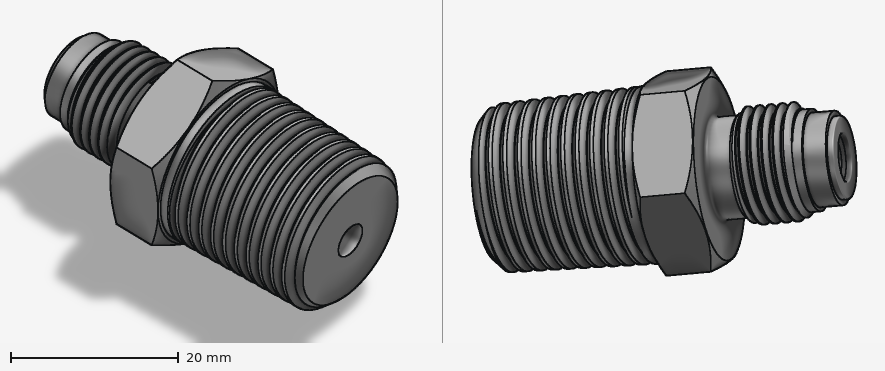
import cadquery as cq
import math

tip_end = 0.8
neck_end = 3.6
small_thread_start = 4.77
small_thread_end = 12.57
hex_start = 15.66
hex_end = 23.24
taper_start = 24.08
collar_end = 24.36
total_length = 43.94

tip_radius = 5.02
tip_fillet = 0.2
neck_radius = 5.69
shank_radius = 6.17
shank_fillet = 0.5

across_flats = 22.225
hex_bevel_angle = 30.0
hex_bevel_inset = 0.1

bore_radius = 2.2
mouth_radius = 2.9
mouth_fillet = 0.2
mouth_depth = 0.75
mouth_cone_length = 0.35

inch = 25.4
flank_slope = math.tan(math.radians(30))

small_pitch = inch / 18
small_crest_radius = inch * 9 / 16 / 2
small_foot_radius = shank_radius - 0.07
small_foot_gap = 0.04
small_crest_at_top = 5.87

pipe_pitch = inch / 14
pipe_crest_radius = inch * 0.84 / 2
pipe_thread_depth = 1.09
pipe_root_flat = 0.08
pipe_taper = 1 / 32
pipe_end_chamfer = 1.4
pipe_groove_at_top = 26.2

cylinder_helix = 360.0

clearance = 0.3


def revolve_about_x(outline):
    """Turn a closed (x, radius) sketch about the X axis."""
    return outline.close().revolve(360, (0, 0, 0), (1, 0, 0))


def turned(points):
    """Solid of revolution from (x, radius) corners that start and end on the axis."""
    return revolve_about_x(cq.Workplane("XY").polyline(points))


def small_end():
    """Tip, neck and shank, with a fillet running out into the hexagon."""
    outline = (
        cq.Workplane("XY")
        .moveTo(0, 0)
        .lineTo(0, tip_radius - tip_fillet)
        .radiusArc((tip_fillet, tip_radius), tip_fillet)
        .lineTo(tip_end, tip_radius)
        .lineTo(tip_end, neck_radius)
        .lineTo(neck_end, neck_radius)
        .lineTo(neck_end, shank_radius)
        .lineTo(hex_start - shank_fillet, shank_radius)
        .radiusArc((hex_start, shank_radius + shank_fillet), -shank_fillet)
        .lineTo(hex_start, 0)
    )
    return revolve_about_x(outline)


def hexagon():
    """Hexagon with corners up and down, both ends bevelled by a cone."""
    corner_radius = across_flats / 2 / math.cos(math.radians(30))
    prism = (
        cq.Workplane("YZ")
        .workplane(offset=hex_start)
        .transformed(rotate=(0, 0, 90))
        .polygon(6, 2 * corner_radius)
        .extrude(hex_end - hex_start)
    )
    slope = math.tan(math.radians(hex_bevel_angle))
    left_radius = across_flats / 2 - hex_bevel_inset
    right_radius = across_flats / 2
    rim_radius = corner_radius + clearance
    bevel = turned([
        (hex_start, 0),
        (hex_start, left_radius),
        (hex_start + (rim_radius - left_radius) * slope, rim_radius),
        (hex_end - (rim_radius - right_radius) * slope, rim_radius),
        (hex_end, right_radius),
        (hex_end, 0),
    ])
    return prism.intersect(bevel)


def helical_sweep(section, pitch, top_x, first_turn, turns, taper=0.0):
    """Sweep a closed section along a right-hand helix about the X axis.

    The section is a list of (radius, axial offset) corners, the first one lying at
    the helix radius. It is placed directly above the axis at top_x; the sweep starts
    first_turn whole turns from there and shrinks by the taper as X grows.
    """
    start_radius_change = -first_turn * pitch * taper
    corners = [(radius + start_radius_change, offset) for radius, offset in section]
    helix = cq.Wire.makeHelix(
        pitch,
        turns * pitch,
        corners[0][0],
        angle=-math.degrees(math.atan(taper)) if taper else cylinder_helix,
    )
    swept = cq.Workplane("XZ").polyline(corners).close().sweep(cq.Workplane(helix), isFrenet=True)
    return (
        swept.rotate((0, 0, 0), (0, 1, 0), 90)
        .rotate((0, 0, 0), (1, 0, 0), 180)
        .translate((top_x + first_turn * pitch, 0, 0))
    )


def small_thread():
    """Straight thread ridge with its ends bevelled at 45 degrees down to the shank.

    The foot of the ridge is sunk into the shank so that the two join.
    """
    half_foot = (small_pitch - small_foot_gap) / 2
    half_crest = half_foot - (small_crest_radius - small_foot_radius) * flank_slope
    ridge = helical_sweep(
        [
            (small_foot_radius, -half_foot),
            (small_crest_radius, -half_crest),
            (small_crest_radius, half_crest),
            (small_foot_radius, half_foot),
        ],
        small_pitch,
        small_crest_at_top,
        first_turn=-3,
        turns=8,
    )
    bevel = small_crest_radius + clearance - shank_radius
    envelope = turned([
        (small_thread_start, 0),
        (small_thread_start, shank_radius),
        (small_thread_start + bevel, shank_radius + bevel),
        (small_thread_end - bevel, shank_radius + bevel),
        (small_thread_end, shank_radius),
        (small_thread_end, 0),
    ])
    return ridge.intersect(envelope)


def pipe_radius_at(x):
    """Crest radius of the pipe taper at a station along the axis."""
    return pipe_crest_radius - (x - taper_start) * pipe_taper


def pipe_thread():
    """Tapered threaded sleeve with a 45 degree lead chamfer at the free end."""
    chamfer_start = total_length - pipe_end_chamfer
    chamfer_radius = pipe_radius_at(chamfer_start)
    blank = turned([
        (collar_end, 0),
        (collar_end, pipe_radius_at(collar_end)),
        (chamfer_start, chamfer_radius),
        (total_length, chamfer_radius - pipe_end_chamfer),
        (total_length, 0),
    ])
    crest_at_top = pipe_radius_at(pipe_groove_at_top)
    root_at_top = crest_at_top - pipe_thread_depth
    mouth_at_top = crest_at_top + clearance
    half_root = pipe_root_flat / 2
    half_mouth = half_root + (mouth_at_top - root_at_top) * flank_slope
    groove = helical_sweep(
        [
            (root_at_top, -half_root),
            (root_at_top, half_root),
            (mouth_at_top, half_mouth),
            (mouth_at_top, -half_mouth),
        ],
        pipe_pitch,
        pipe_groove_at_top,
        first_turn=-2,
        turns=13,
        taper=pipe_taper,
    )
    return blank.cut(groove)


def collar():
    """Plain ring between the hexagon and the pipe thread, where the taper begins."""
    return turned([
        (hex_end, 0),
        (hex_end, pipe_crest_radius),
        (taper_start, pipe_crest_radius),
        (collar_end, pipe_radius_at(collar_end)),
        (collar_end, 0),
    ])


def bore():
    """Through bore, opened out at the tip by a rounded mouth and a short cone."""
    outline = (
        cq.Workplane("XY")
        .moveTo(0, 0)
        .lineTo(0, mouth_radius + mouth_fillet)
        .radiusArc((mouth_fillet, mouth_radius), -mouth_fillet)
        .lineTo(mouth_depth, mouth_radius)
        .lineTo(mouth_depth + mouth_cone_length, bore_radius)
        .lineTo(total_length, bore_radius)
        .lineTo(total_length, 0)
    )
    return revolve_about_x(outline)


body = small_end().union(small_thread()).union(hexagon()).union(collar()).union(pipe_thread())
result = body.cut(bore())